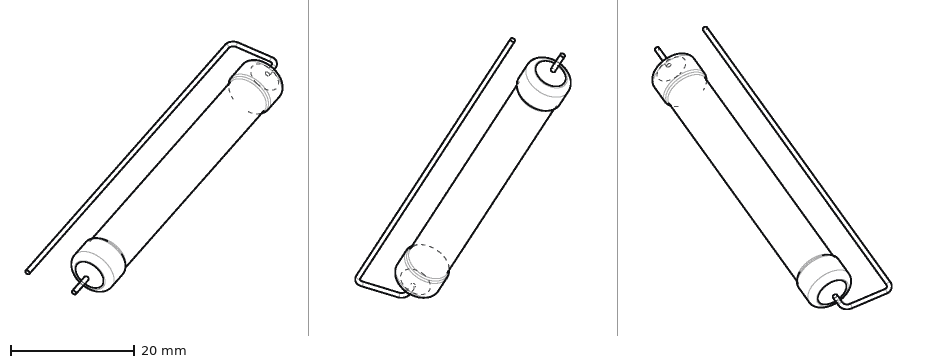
import cadquery as cq

overall_length = 63.3
overall_width = 13.3

tube_radius = 3.6
cap_radius = 4.0
body_shift = 0.2
body_half_length = 27.9
cone_height = 0.9
cone_base_radius = 2.65
cap_edge_radius = 1.1
cap_straight = 3.5
cap_blend_length = 0.75

wire_radius = 0.41
bend_radius = 1.2

half_length = overall_length / 2
return_x = cap_radius + wire_radius - overall_width

shoulder_y = body_half_length - cone_height
edge_y = shoulder_y - cap_edge_radius
cap_start_y = edge_y - cap_straight
tube_half_length = cap_start_y - cap_blend_length


def make_cap():
    """Turned cap with its end cone, on the +Y end of the tube."""
    blend_mid = ((tube_radius + cap_radius) / 2, cap_start_y - cap_blend_length / 2)
    return (
        cq.Workplane("XY")
        .moveTo(0, body_half_length)
        .lineTo(wire_radius, body_half_length)
        .lineTo(cone_base_radius, shoulder_y)
        .lineTo(cap_radius - cap_edge_radius, shoulder_y)
        .tangentArcPoint((cap_radius, edge_y), relative=False)
        .lineTo(cap_radius, cap_start_y)
        .tangentArcPoint(blend_mid, relative=False)
        .tangentArcPoint((tube_radius, tube_half_length), relative=False)
        .lineTo(0, tube_half_length)
        .close()
        .revolve(360, (0, 0, 0), (0, 1, 0))
    )


def make_body():
    """Tube with a cap on each end."""
    tube = (
        cq.Workplane("XZ", origin=(0, tube_half_length, 0))
        .circle(tube_radius)
        .extrude(2 * tube_half_length)
    )
    cap = make_cap()
    return tube.union(cap).union(cap.mirror("XZ")).translate((0, body_shift, 0))


def make_wire():
    """Wire along the body axis, bent twice to return beside the body."""
    crossing_y = half_length - wire_radius
    bend_y = crossing_y - bend_radius
    path = (
        cq.Workplane("XY")
        .moveTo(0, -half_length)
        .lineTo(0, bend_y)
        .tangentArcPoint((-bend_radius, crossing_y), relative=False)
        .lineTo(return_x + bend_radius, crossing_y)
        .tangentArcPoint((return_x, bend_y), relative=False)
        .lineTo(return_x, -half_length)
    )
    return cq.Workplane("XZ", origin=(0, -half_length, 0)).circle(wire_radius).sweep(path)


result = make_body().union(make_wire())